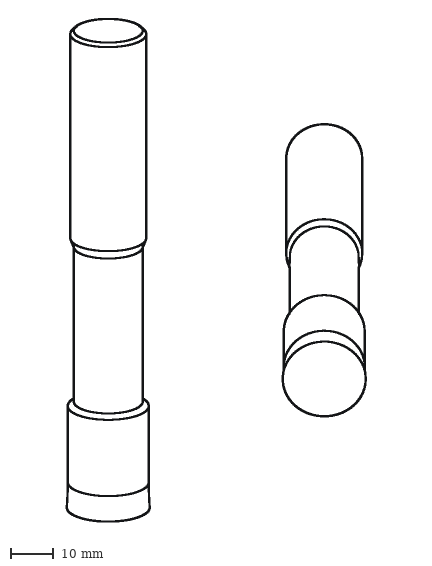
import cadquery as cq
import math

total_length = 119.1
head_length = 6.3
collar_top = 25.4
neck_bottom = 26.4
neck_top = 65.1
grip_bottom = 67.3

head_tip_radius = 9.8
collar_radius = 9.5
neck_radius = 8.1
grip_radius = 8.9
end_chamfer = 0.8


def make_head():
    """Short cutting head that flares from the collar radius out to its tip."""
    flare = head_tip_radius - collar_radius
    arc_radius = (head_length**2 + flare**2) / (2 * flare)
    mid_height = head_length / 2
    mid_radius = collar_radius + arc_radius - math.sqrt(arc_radius**2 - mid_height**2)
    outline = (
        cq.Workplane("XZ")
        .lineTo(0, head_length)
        .lineTo(collar_radius, head_length)
        .threePointArc((mid_radius, mid_height), (head_tip_radius, 0))
        .close()
    )
    return outline.revolve(360, (0, 0, 0), (0, 1, 0))


def make_shank():
    """Turned shank: collar, slimmer neck and cylindrical grip with a chamfered end."""
    outline = cq.Workplane("XZ").polyline([
        (0, head_length),
        (collar_radius, head_length),
        (collar_radius, collar_top),
        (neck_radius, neck_bottom),
        (neck_radius, neck_top),
        (grip_radius, grip_bottom),
        (grip_radius, total_length - end_chamfer),
        (grip_radius - end_chamfer, total_length),
        (0, total_length),
    ]).close()
    return outline.revolve(360, (0, 0, 0), (0, 1, 0))


head = make_head()
shank = make_shank()

result = cq.Compound.makeCompound([head.val(), shank.val()])